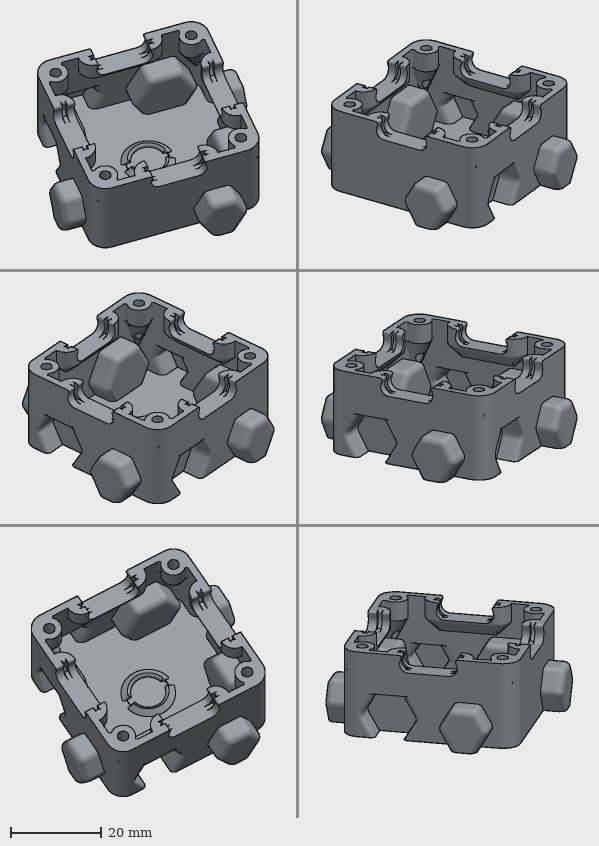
import cadquery as cq
import math

COS_30 = math.cos(math.radians(30))
TAN_30 = math.tan(math.radians(30))

overall = 50.0
body = 40.0
height = 20.0
corner_radius = 4.0
wall = 1.65
floor = 1.0
half = body / 2
inner = half - wall
mid_wall = (inner + half) / 2

hex_offset = 9.0
hex_z = 5.0
plug_apothem = 5.05
plug_rounding = 1.6
plug_reach = (overall - body) / 2
plug_end_wall = 1.65
plug_bore_apothem = 3.75
plug_bore_drop = 4.75
plug_bore_rounding = 0.5
plug_bore_mouth_radius = 1.65
socket_apothem = 5.4
socket_rounding = 1.5
socket_depth = 5.1
socket_mouth_radius = 1.0
housing_apothem = 6.75
housing_rounding = 1.5
housing_depth = 7.1

notch_radius = 2.0
notch_arc_x = 4.55
notch_floor = height - 2 * notch_radius
notch_lip_radius = 0.5
notch_lip_x = 6.7
groove_y = 17.4
groove_width = 1.1
groove_depth = 0.85
pad_radius = 3.3
pad_end_x = 6.5
pad_straight_bottom = 16.0
pad_edge_radius = 1.0

post_offset = 16.0
post_radius = 2.75
post_fillet = 0.4
post_straight_bottom = 15.5
post_tip_z = 5.65
foot_embed = 0.5
foot_tip_share = 0.05
screw_top_diameter = 2.5
screw_diameter = 1.75
screw_taper_depth = 5.0
screw_bottom_z = 9.0

ring_outer_radius = 6.05
ring_top_radius = 4.6
ring_lip_radius = 3.9
ring_seat_radius = 5.0
ring_seat_depth = 0.5
ring_height = 1.0
ring_gap = 1.7
ring_end_radius = 0.4


def on_four_sides(shape):
    """Repeat a shape of the +Y side on all four sides."""
    copies = shape
    for turn in (90, 180, 270):
        copies = copies.union(shape.rotate((0, 0, 0), (0, 0, 1), turn))
    return copies


def slab(bottom, top):
    """A level slab wider than the whole part."""
    return cq.Workplane("XY", origin=(0, 0, bottom)).rect(2 * overall, 2 * overall).extrude(top - bottom)


def rounded_box(size, radius, bottom, top):
    return (
        cq.Workplane("XY", origin=(0, 0, bottom))
        .rect(size, size)
        .extrude(top - bottom)
        .edges("|Z")
        .fillet(radius)
    )


def hex_block(apothem, rounding, x, start_y, end_y):
    """Block along Y with the upper half of a hexagon, its lower slopes running straight out at the base.

    The upper corners and the end are rounded.
    """
    half_width = apothem / COS_30
    half_top = half_width / 2
    outline = [
        (half_top, apothem),
        (half_width, 0),
        (0, -2 * apothem),
        (-half_width, 0),
        (-half_top, apothem),
    ]
    block = cq.Workplane("XZ", origin=(x, start_y, hex_z)).polyline(outline).close().extrude(start_y - end_y)
    end_face = ">Y" if end_y > start_y else "<Y"
    block = block.edges("|Y").fillet(rounding).faces(end_face).edges().fillet(rounding)
    return block.intersect(slab(0, height))


def hex_void(apothem, drop, rounding, mouth_radius, mouth_y, end_y):
    """Hexagonal hollow along Y whose sloping sides flare out round at the mouth.

    The hollow reaches up by its apothem and down by its drop from the middle.
    The upper slopes run on to a peak, so that the level cut of the flat top leaves sharp corners.
    """
    half_width = apothem / COS_30
    half_bottom = half_width - drop * TAN_30
    depth = mouth_y - end_y
    at_mouth = cq.Workplane("XZ", origin=(0, mouth_y, hex_z))
    surround = at_mouth.rect(2 * body, 2 * body).extrude(depth)
    peaked_hexagon = [
        (half_width, 0),
        (0, 2 * apothem),
        (-half_width, 0),
        (-half_bottom, -drop),
        (half_bottom, -drop),
    ]
    core = at_mouth.polyline(peaked_hexagon).close().extrude(depth)
    below_peak = cq.selectors.BoxSelector((-body, -body, -body), (body, body, hex_z + apothem))
    core = core.edges("|Y").edges(below_peak).fillet(rounding)
    mouth_edges = cq.selectors.BoxSelector(
        (-half, mouth_y - 0.05, hex_z - half),
        (half, mouth_y + 0.05, hex_z + half),
    )
    flared = surround.cut(core).edges(mouth_edges).fillet(mouth_radius)
    return surround.cut(flared).intersect(slab(-height, hex_z + apothem))


def cavity():
    """Hollow of the box; its upper part leaves out the screw posts and blends them into the walls."""
    posts = (
        cq.Workplane("XY")
        .rect(2 * post_offset, 2 * post_offset, forConstruction=True)
        .vertices()
        .circle(post_radius)
        .extrude(height)
    )
    upper = rounded_box(2 * inner, corner_radius - wall, post_straight_bottom, height).cut(posts)
    upper = upper.edges("|Z").fillet(post_fillet)
    lower = rounded_box(2 * inner, corner_radius - wall, floor, post_straight_bottom)
    return lower.union(upper)


def post_foot(hollow):
    """Foot of the +X +Y screw post: the blended post outline shrinking towards a point in that corner."""
    start = post_offset - post_radius - post_fillet
    size = inner + foot_embed - start
    post = (
        cq.Workplane("XY", origin=(start, start, post_straight_bottom))
        .rect(size, size, centered=False)
        .extrude(height - post_straight_bottom)
        .cut(hollow)
    )
    outline = post.faces("<Z").wires().val()
    tip = cq.Vector(inner, inner, post_tip_z)
    small_outline = outline.translate(-tip).scale(foot_tip_share).translate(tip)
    return cq.Workplane(cq.Solid.makeLoft([outline, small_outline], True))


def pad_profile(plane):
    """Half section of the pad: straight front, rounded lower edge, underside sloping at 45 degrees."""
    arc_drop = pad_edge_radius * math.sin(math.radians(45))
    arc_inset = pad_edge_radius - arc_drop
    arc_end = (pad_radius - arc_inset, pad_straight_bottom - arc_drop)
    return (
        cq.Workplane(plane)
        .moveTo(0, height)
        .lineTo(pad_radius, height)
        .lineTo(pad_radius, pad_straight_bottom)
        .tangentArcPoint(arc_end, relative=False)
        .lineTo(0, arc_end[1] - arc_end[0])
        .close()
    )


def cable_pad():
    """Pad with round ends on the inside of a side."""
    end_plane = cq.Plane(origin=(pad_end_x, inner, 0), xDir=(0, -1, 0), normal=(-1, 0, 0))
    round_end = pad_profile(end_plane).revolve(90, (0, 0, 0), (0, 1, 0))
    half_pad = pad_profile(end_plane).extrude(pad_end_x).union(round_end)
    return half_pad.union(half_pad.mirror("YZ"))


def notch(widening, near_y, far_y):
    """Open-topped notch across a side: level floor, round bottom corners and a rounded lip at the top.

    A straight line touching both arcs joins each bottom corner to its lip.
    """
    radius = notch_radius + widening
    arc_z = notch_floor + notch_radius
    lip_x = notch_lip_x + widening
    lip_z = height - notch_lip_radius
    lip_distance = math.hypot(lip_x - notch_arc_x, lip_z - arc_z)
    lip_direction = math.atan2(lip_z - arc_z, lip_x - notch_arc_x)
    touch_angle = lip_direction - math.acos((radius + notch_lip_radius) / lip_distance)
    across = math.cos(touch_angle)
    rise = math.sin(touch_angle)
    floor_x = notch_arc_x + math.sqrt(radius**2 - notch_radius**2)
    half_notch = (
        cq.Workplane("XZ", origin=(0, far_y, 0))
        .moveTo(0, notch_floor)
        .lineTo(floor_x, notch_floor)
        .threePointArc((notch_arc_x + radius, arc_z), (notch_arc_x + radius * across, arc_z + radius * rise))
        .lineTo(lip_x - notch_lip_radius * across, lip_z - notch_lip_radius * rise)
        .threePointArc((lip_x - notch_lip_radius, lip_z), (lip_x, height))
        .lineTo(0, height)
        .close()
        .extrude(far_y - near_y)
    )
    return half_notch.union(half_notch.mirror("YZ"))


def screw_hole():
    """Hole that narrows over its upper part and then runs straight down out of the post."""
    top = screw_top_diameter / 2
    bottom = screw_diameter / 2
    section = [
        (0, height),
        (top, height),
        (bottom, height - screw_taper_depth),
        (bottom, screw_bottom_z),
        (0, screw_bottom_z),
    ]
    return (
        cq.Workplane("XZ", origin=(post_offset, post_offset, 0))
        .polyline(section)
        .close()
        .revolve(360, (0, 0, 0), (0, 1, 0))
    )


def is_slope_end(edge):
    """Whether an edge of the split ring lies between its outer slope and one of its ends."""
    middle = edge.Center()
    return edge.geomType() == "HYPERBOLA" and math.hypot(middle.x, middle.y) > ring_seat_radius


def retaining_ring():
    """Ring with a sloping outside and a rounded inward lip, split in two, the ends of its slope rounded."""
    lip_top = floor + ring_height
    lip_round = ring_top_radius - ring_lip_radius
    lip_round_inset = lip_round * math.cos(math.radians(45))
    root_z = floor - ring_seat_depth
    root_radius = ring_outer_radius + (ring_outer_radius - ring_top_radius) * ring_seat_depth / ring_height
    ring = (
        cq.Workplane("XZ")
        .moveTo(ring_seat_radius, root_z)
        .lineTo(root_radius, root_z)
        .lineTo(ring_top_radius, lip_top)
        .threePointArc(
            (ring_top_radius - lip_round_inset, lip_top - lip_round + lip_round_inset),
            (ring_lip_radius, lip_top - lip_round),
        )
        .lineTo(ring_seat_radius, floor)
        .close()
        .revolve(360, (0, 0, 0), (0, 1, 0))
    )
    ring = ring.cut(cq.Workplane("XY").rect(ring_gap, body).extrude(height))
    slope_ends = [edge for edge in ring.edges().vals() if is_slope_end(edge)]
    return ring.newObject(slope_ends).fillet(ring_end_radius)


outer_box = rounded_box(body, corner_radius, 0, height)
hollow = cavity()
side_solids = (
    hex_block(plug_apothem, plug_rounding, -hex_offset, mid_wall, half + plug_reach)
    .union(hex_block(housing_apothem, housing_rounding, hex_offset, mid_wall, half - housing_depth))
    .union(cable_pad())
    .union(post_foot(hollow))
)

plug_bore = hex_void(
    plug_bore_apothem,
    plug_bore_drop,
    plug_bore_rounding,
    plug_bore_mouth_radius,
    inner,
    half + plug_reach - plug_end_wall,
)
socket = hex_void(
    socket_apothem,
    socket_apothem,
    socket_rounding,
    socket_mouth_radius,
    half,
    half - socket_depth,
)
side_voids = (
    plug_bore.intersect(slab(floor, height)).translate((-hex_offset, 0, 0)),
    socket.translate((hex_offset, 0, 0)),
    notch(0, inner - pad_radius, half),
    notch(groove_depth, groove_y - groove_width / 2, groove_y + groove_width / 2),
    screw_hole(),
)

ring_seat = cq.Workplane("XY", origin=(0, 0, floor)).circle(ring_seat_radius).extrude(-ring_seat_depth)

result = outer_box.cut(hollow).union(on_four_sides(side_solids))
for void in side_voids:
    result = result.cut(on_four_sides(void))
result = result.cut(ring_seat).union(retaining_ring())